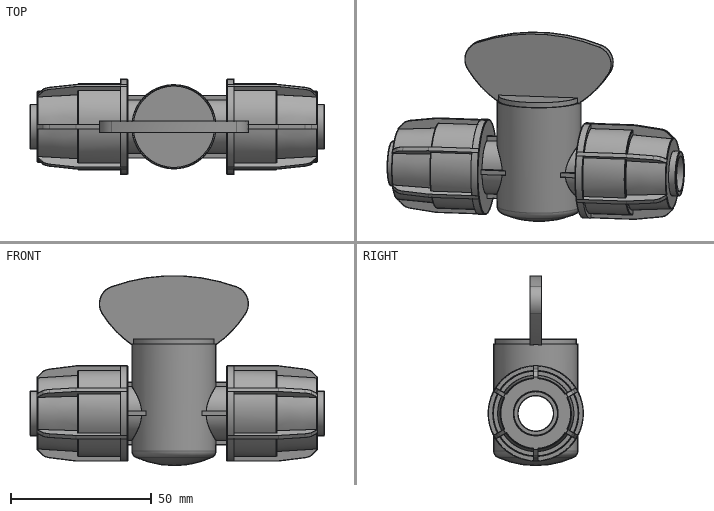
import cadquery as cq
import math

bore_diameter = 12.59

body_radius = 15.0
body_top = 24.7
body_bottom = -18.6
base_fillet_radius = 2.5
base_fillet_top = -13.4

cap_radius = 14.5
cap_top = 26.5
handle_thickness = 4.1
handle_top = 49.1
handle_top_radius = 65.0
handle_half_width = 26.57
handle_tip_radius = 6.5
handle_flank_angle = 32.0
handle_foot_half_width = 13.8
handle_embed = 1.0

run_center = 1.2
run_length = 105.0
pipe_radius = 8.0
socket_radius = 9.65
socket_rib_radius = 11.2
socket_rib_width = 1.6
socket_rib_count = 4

nut_back = 17.6
nut_length = 32.3
flange_thickness = 2.6
flange_radius = 17.0
barrel_end = 35.5
barrel_radius = 15.35
cone_back_radius = 13.6
cone_front_radius = 12.7

grip_rib_count = 6
grip_rib_width = 1.5
grip_taper_start = 36.0
grip_bevel_radius = 15.0
grip_bevel = 2.1
grip_round_length = 2.2
grip_taper_end_radius = 15.8

rim_break = 0.25

nut_front = nut_back + nut_length
run_half_length = run_length / 2


def make_body():
    """Round body with a spherical base blended into the wall by a tangent fillet."""
    fillet_center = body_radius - base_fillet_radius
    fillet_rise = base_fillet_top - body_bottom
    dome_radius = (fillet_center**2 + fillet_rise**2 - base_fillet_radius**2) / (
        2 * (fillet_rise - base_fillet_radius)
    )
    tangent_angle = math.asin(fillet_center / (dome_radius - base_fillet_radius))
    tangent_point = (
        fillet_center + base_fillet_radius * math.sin(tangent_angle),
        base_fillet_top - base_fillet_radius * math.cos(tangent_angle),
    )
    dome_middle = (
        dome_radius * math.sin(tangent_angle / 2),
        body_bottom + dome_radius * (1 - math.cos(tangent_angle / 2)),
    )
    return (
        cq.Workplane("XZ")
        .moveTo(0, body_top)
        .lineTo(body_radius, body_top)
        .lineTo(body_radius, base_fillet_top)
        .tangentArcPoint(tangent_point, relative=False)
        .threePointArc(dome_middle, (0, body_bottom))
        .close()
        .revolve(360, (0, 0, 0), (0, 1, 0))
    )


def make_cap():
    return cq.Workplane("XY").workplane(offset=body_top).circle(cap_radius).extrude(cap_top - body_top)


def make_handle():
    """Flat fan-shaped handle whose top arc, tip rounds and flanks are tangent."""
    tip_center_x = handle_half_width - handle_tip_radius
    top_center_z = handle_top - handle_top_radius
    top_angle = math.asin(tip_center_x / (handle_top_radius - handle_tip_radius))
    tip_center_z = top_center_z + (handle_top_radius - handle_tip_radius) * math.cos(top_angle)
    tip_upper_x = handle_top_radius * math.sin(top_angle)
    tip_upper_z = top_center_z + handle_top_radius * math.cos(top_angle)
    flank_angle = math.radians(handle_flank_angle)
    tip_lower_x = tip_center_x + handle_tip_radius * math.cos(flank_angle)
    tip_lower_z = tip_center_z - handle_tip_radius * math.sin(flank_angle)
    foot_z = body_top - handle_embed

    half_outline = (
        cq.Workplane("XZ")
        .moveTo(0, handle_top)
        .threePointArc(
            (
                handle_top_radius * math.sin(top_angle / 2),
                top_center_z + handle_top_radius * math.cos(top_angle / 2),
            ),
            (tip_upper_x, tip_upper_z),
        )
        .threePointArc((handle_half_width, tip_center_z), (tip_lower_x, tip_lower_z))
        .tangentArcPoint((handle_foot_half_width, foot_z), relative=False)
        .lineTo(0, foot_z)
        .close()
    )
    half = half_outline.extrude(handle_thickness / 2, both=True)
    return half.union(half.mirror("YZ"))


def x_cylinder(start, length, radius):
    return cq.Workplane("YZ").workplane(offset=start).circle(radius).extrude(length)


def repeat_around_run(feature, count):
    """Union of copies of a feature spaced evenly about the X axis."""
    pattern = feature
    for index in range(1, count):
        pattern = pattern.union(feature.rotate((0, 0, 0), (1, 0, 0), index * 360 / count))
    return pattern


def make_socket():
    """Stub joining the body to one nut, with lengthwise stiffening ribs."""
    stub = x_cylinder(0, nut_front, socket_radius)
    rib = cq.Workplane("XY").box(
        nut_front, socket_rib_width, socket_rib_radius, centered=(False, True, False)
    )
    return stub.union(repeat_around_run(rib, socket_rib_count))


def make_nut():
    """Stepped nut: flange, straight barrel, slightly tapered nose and grip ribs."""
    shell = (
        cq.Workplane("XY")
        .moveTo(nut_back, 0)
        .lineTo(nut_back, flange_radius - rim_break)
        .lineTo(nut_back + rim_break, flange_radius)
        .lineTo(nut_back + flange_thickness, flange_radius)
        .lineTo(nut_back + flange_thickness, barrel_radius)
        .lineTo(barrel_end - rim_break, barrel_radius)
        .lineTo(barrel_end, barrel_radius - rim_break)
        .lineTo(barrel_end, cone_back_radius)
        .lineTo(nut_front - rim_break, cone_front_radius)
        .lineTo(nut_front, cone_front_radius - rim_break)
        .lineTo(nut_front, 0)
        .close()
        .revolve(360, (0, 0, 0), (1, 0, 0))
    )
    bevel_end = nut_front - grip_bevel
    rib = (
        cq.Workplane("XZ")
        .moveTo(nut_back, 0)
        .lineTo(nut_back, flange_radius - rim_break)
        .lineTo(nut_back + rim_break, flange_radius)
        .lineTo(grip_taper_start, flange_radius)
        .lineTo(bevel_end - grip_round_length, grip_taper_end_radius)
        .tangentArcPoint((bevel_end, grip_bevel_radius), relative=False)
        .lineTo(nut_front, grip_bevel_radius - grip_bevel)
        .lineTo(nut_front, 0)
        .close()
        .extrude(grip_rib_width / 2, both=True)
    )
    return shell.union(repeat_around_run(rib, grip_rib_count))


def make_run_half():
    pipe = x_cylinder(0, run_half_length, pipe_radius).faces(">X").chamfer(rim_break)
    return pipe.union(make_socket()).union(make_nut())


def make_run():
    half = make_run_half()
    return half.union(half.mirror("YZ")).translate((run_center, 0, 0))


bore = x_cylinder(run_center - run_half_length, run_length, bore_diameter / 2)
result = make_body().union(make_cap()).union(make_handle()).union(make_run()).cut(bore)